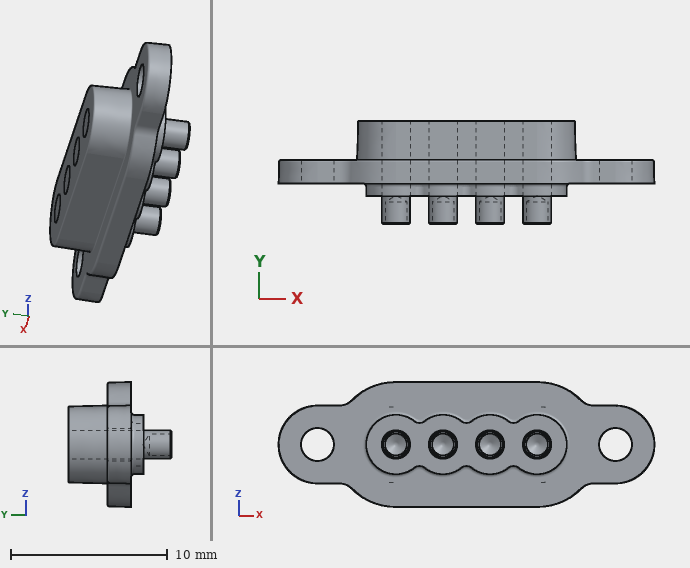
import cadquery as cq
import math

PIN_COUNT = 4
PIN_PITCH = 3.0
END_PIN_X = PIN_PITCH * (PIN_COUNT - 1) / 2

FLANGE_LENGTH = 24.0
FLANGE_HEIGHT = 8.0
FLANGE_THICKNESS = 1.5
EAR_RADIUS = 2.5
EAR_BLEND_RADIUS = 1.0
EAR_HOLE_DIAMETER = 2.1
FLANGE_EDGE_FILLET = 0.15
EAR_X = FLANGE_LENGTH / 2 - EAR_RADIUS
BODY_LENGTH = 2 * END_PIN_X + FLANGE_HEIGHT

PLUG_BASE_RADIUS = EAR_RADIUS
PLUG_BASE_LENGTH = 2 * (END_PIN_X + PLUG_BASE_RADIUS)
PLUG_LENGTH = 2.5
PLUG_END_FILLET = 0.1
PLUG_ROOT_FILLET = 0.07

DRAFT_ANGLE = 1.5

LOBE_RADIUS = 1.9
COLLAR_HEIGHT = 0.8
LOBE_BLEND_RADIUS = 0.5
COLLAR_ROOT_FILLET = 0.22

PIN_DIAMETER = 1.82
PIN_PROJECTION = 1.8
PIN_TIP_CHAMFER = 0.1
CUP_DIAMETER = 1.4
CUP_DEPTH = 1.45
DRILL_POINT_ANGLE = 118.0

EDGE_MARGIN = 0.12

PIN_XS = [PIN_PITCH * i - END_PIN_X for i in range(PIN_COUNT)]
PIN_TIP_Y = -COLLAR_HEIGHT - PIN_PROJECTION
PLUG_END_Y = FLANGE_THICKNESS + PLUG_LENGTH


def facing_rear(y):
    """XZ workplane at the given Y whose extrusions run towards +Y; its local x is -X."""
    return cq.Workplane(cq.Plane(origin=(0, y, 0), xDir=(-1, 0, 0), normal=(0, 1, 0)))


def cylinder(x, y_start, y_end, diameter):
    return facing_rear(y_start).center(-x, 0).circle(diameter / 2).extrude(y_end - y_start)


def drafted_slot(y_start, depth, length, height):
    """Stadium block along X that narrows towards +Y by the draft angle."""
    return facing_rear(y_start).slot2D(length, height).extrude(depth, taper=DRAFT_ANGLE)


def centred_within(half_x, y_min, y_max, half_z):
    """Selector for edges whose centre lies in a box that is symmetric about X = 0 and Z = 0."""
    return cq.selectors.BoxSelector((-half_x, y_min, -half_z), (half_x, y_max, half_z))


def make_flange():
    """Wide body crossed by a narrower bar that forms the two ears, blended where they meet."""
    body_radius = FLANGE_HEIGHT / 2
    body = drafted_slot(0, FLANGE_THICKNESS, BODY_LENGTH, FLANGE_HEIGHT)
    ears = drafted_slot(0, FLANGE_THICKNESS, FLANGE_LENGTH, 2 * EAR_RADIUS)
    flange = body.union(ears)
    corner_x = END_PIN_X + math.sqrt(body_radius**2 - EAR_RADIUS**2)
    for side in (-1, 1):
        near_corner = cq.selectors.BoxSelector(
            (side * corner_x - EDGE_MARGIN, EDGE_MARGIN, -body_radius),
            (side * corner_x + EDGE_MARGIN, FLANGE_THICKNESS - EDGE_MARGIN, body_radius),
        )
        flange = flange.edges(near_corner).fillet(EAR_BLEND_RADIUS)
    return flange.faces(">Y").edges().fillet(FLANGE_EDGE_FILLET)


def make_plug():
    """Drafted stadium block with a rounded end edge."""
    plug = drafted_slot(FLANGE_THICKNESS, PLUG_LENGTH, PLUG_BASE_LENGTH, 2 * PLUG_BASE_RADIUS)
    return plug.faces(">Y").edges().fillet(PLUG_END_FILLET)


def make_collar():
    """A round lobe for each pin, with a concave blend where neighbouring lobes meet."""
    collar = cylinder(PIN_XS[0], -COLLAR_HEIGHT, 0, 2 * LOBE_RADIUS)
    for x in PIN_XS[1:]:
        collar = collar.union(cylinder(x, -COLLAR_HEIGHT, 0, 2 * LOBE_RADIUS))
    lobe_corners = centred_within(END_PIN_X, -COLLAR_HEIGHT, 0, LOBE_RADIUS)
    return collar.edges("|Y").edges(lobe_corners).fillet(LOBE_BLEND_RADIUS)


def make_housing():
    housing = make_flange().union(make_plug())
    plug_root = centred_within(
        PLUG_BASE_LENGTH / 2 + EDGE_MARGIN,
        FLANGE_THICKNESS - EDGE_MARGIN,
        FLANGE_THICKNESS + EDGE_MARGIN,
        PLUG_BASE_RADIUS + EDGE_MARGIN,
    )
    housing = housing.edges(plug_root).fillet(PLUG_ROOT_FILLET)

    housing = housing.union(make_collar())
    collar_root = centred_within(
        END_PIN_X + LOBE_RADIUS + EDGE_MARGIN, -EDGE_MARGIN, EDGE_MARGIN, LOBE_RADIUS + EDGE_MARGIN
    )
    housing = housing.edges(collar_root).fillet(COLLAR_ROOT_FILLET)

    for x in (-EAR_X, EAR_X):
        housing = housing.cut(cylinder(x, 0, FLANGE_THICKNESS, EAR_HOLE_DIAMETER))
    for x in PIN_XS:
        housing = housing.cut(cylinder(x, -COLLAR_HEIGHT, PLUG_END_Y, PIN_DIAMETER))
    return housing


def make_pin(x):
    """Round pin through the housing, flush with the plug end, cupped and chamfered at its tip."""
    pin = cylinder(x, PIN_TIP_Y, PLUG_END_Y, PIN_DIAMETER)
    pin = pin.faces("<Y").edges().chamfer(PIN_TIP_CHAMFER)
    cup_radius = CUP_DIAMETER / 2
    point_depth = cup_radius / math.tan(math.radians(DRILL_POINT_ANGLE / 2))
    cup = (
        cq.Workplane("XY")
        .moveTo(x, PIN_TIP_Y)
        .lineTo(x + cup_radius, PIN_TIP_Y)
        .lineTo(x + cup_radius, PIN_TIP_Y + CUP_DEPTH)
        .lineTo(x, PIN_TIP_Y + CUP_DEPTH + point_depth)
        .close()
        .revolve(360, (x, 0, 0), (x, 1, 0))
    )
    return pin.cut(cup)


housing = make_housing()
pins = [make_pin(x) for x in PIN_XS]
result = cq.Compound.makeCompound([housing.val(), *[pin.val() for pin in pins]])